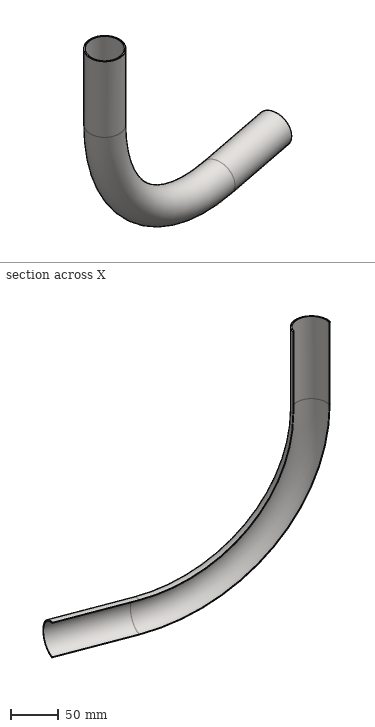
import cadquery as cq

overall_length = 327.0
outer_diameter = 44.5
inner_diameter = 41.2
leg_length = 102.0
bend_angle = 90

bend_radius = overall_length - outer_diameter / 2 - leg_length


def tube_section(plane, origin=(0, 0, 0)):
    """Ring-shaped cross-section of the tube on the given plane."""
    return (
        cq.Workplane(plane, origin=origin)
        .circle(outer_diameter / 2)
        .circle(inner_diameter / 2)
    )


upright_leg = tube_section("XY").extrude(leg_length)

bend_axis_start = (0, bend_radius, 0)
bend_axis_end = (1, bend_radius, 0)
bend = tube_section("XY").revolve(bend_angle, bend_axis_start, bend_axis_end)

level_leg_start = (0, bend_radius, -bend_radius)
level_leg = tube_section("XZ", level_leg_start).extrude(-leg_length)

result = upright_leg.union(bend).union(level_leg)